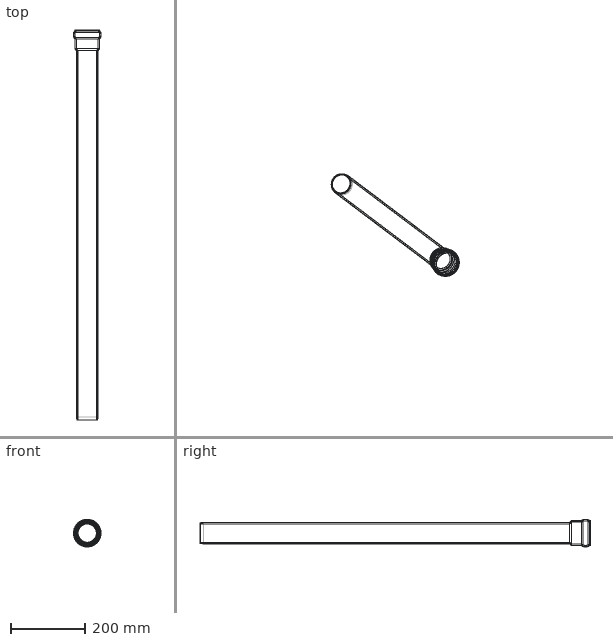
import cadquery as cq

length = 1053.0
wall = 4.0
pipe_radius = 58.0 / 2
socket_radius = 67.0 / 2
bead_radius = 75.0 / 2

spigot_taper_length = 8.0
spigot_taper_depth = 1.0

lip_length = 2.0
bead_slope_length = 4.0
bead_length = 24.0
bead_crown_height = 1.0
socket_length = 51.0
shoulder_length = 5.0

spigot_end = -length / 2
mouth = length / 2
taper_end = spigot_end + spigot_taper_length
lip_end = mouth - lip_length
bead_front = lip_end - bead_slope_length
bead_end = mouth - bead_length
bead_back = bead_end + bead_slope_length
bead_middle = (bead_front + bead_back) / 2
socket_end = mouth - socket_length
shoulder_end = socket_end - shoulder_length

bore_radius = pipe_radius - wall
socket_bore_radius = socket_radius - wall
groove_radius = bead_radius - wall
bead_edge_radius = bead_radius - bead_crown_height
groove_edge_radius = groove_radius - bead_crown_height

section = (
    cq.Workplane("XY")
    .moveTo(pipe_radius - spigot_taper_depth, spigot_end)
    .lineTo(pipe_radius, taper_end)
    .lineTo(pipe_radius, shoulder_end)
    .lineTo(socket_radius, socket_end)
    .lineTo(socket_radius, bead_end)
    .lineTo(bead_edge_radius, bead_back)
    .threePointArc((bead_radius, bead_middle), (bead_edge_radius, bead_front))
    .lineTo(socket_radius, lip_end)
    .lineTo(socket_radius, mouth)
    .lineTo(socket_bore_radius, mouth)
    .lineTo(socket_bore_radius, lip_end)
    .lineTo(groove_edge_radius, bead_front)
    .threePointArc((groove_radius, bead_middle), (groove_edge_radius, bead_back))
    .lineTo(socket_bore_radius, bead_end)
    .lineTo(socket_bore_radius, socket_end)
    .lineTo(bore_radius, shoulder_end)
    .lineTo(bore_radius, spigot_end)
    .close()
)

result = section.revolve(360, (0, 0, 0), (0, 1, 0))